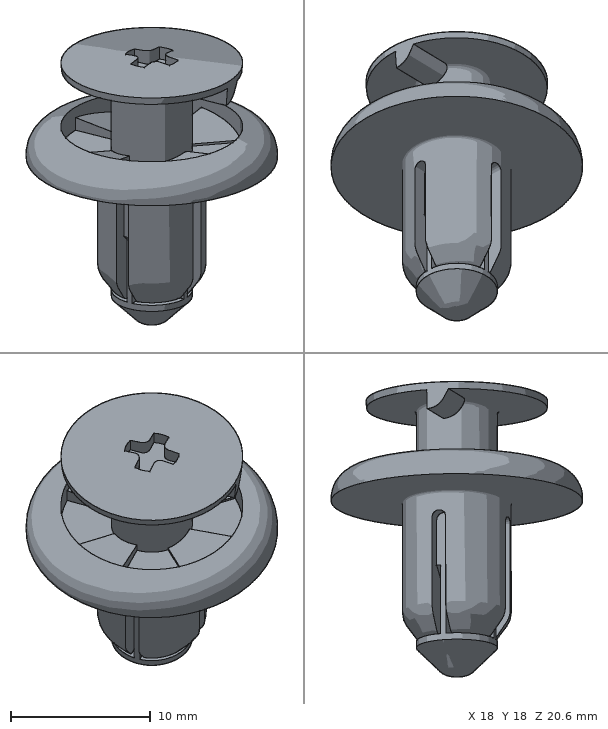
import cadquery as cq
import math


stem_radius = 2.9
seat_top_z = 7.5

head_radius = 6.5
head_top_z = 20.6
head_edge_z = 20.08
head_bottom_z = 19.56
rim_draft = 5.0
stem_fillet = 0.5

lug_bottom_z = 18.2
lug_round = 1.4
lug_flank = 60.0

recess_radius = 1.95
recess_arm_width = 1.15
recess_corner = 0.51
recess_floor_z = 19.56

fin_width = 0.43
collar_top_z = 2.47
collar_bottom_z = 2.0
tip_round = 1.0

flange_radius = 9.0
flange_round = 2.0
flange_bottom_z = 12.77
flange_edge_height = 0.2
flange_top_z = 15.13
pocket_radius = 6.5
pocket_floor_z = 13.35

ramp_start_z = 13.5
ramp_angle = 10.0
ramp_count = 4

sleeve_radius = 3.9
neck_fillet = 0.29
leg_taper_z = 4.1
leg_taper_angle = 36.0
leg_bottom_z = 2.55
leg_round = 1.45
leg_end_round = 0.45

slot_width = 1.03
slot_top_z = 11.3


def revolve_about_z(profile):
    """Turn a closed (radius, z) outline drawn on XZ into a solid of revolution."""
    return profile.close().revolve(360, (0, 0, 0), (0, 1, 0))


def drafted_radius(z):
    """Radius of the drafted head rim, continued downward along the lugs."""
    return head_radius - (head_edge_z - z) * math.tan(math.radians(rim_draft))


def head_apex_z():
    """Apex of the conical head top, which the driver recess cuts away."""
    corner_centre = recess_arm_width / 2 + recess_corner
    corner_r = corner_centre * math.sqrt(2) - recess_corner
    return head_edge_z + (head_top_z - head_edge_z) * head_radius / (head_radius - corner_r)


def make_turned_pin():
    """Round form of the pin: pointed tip, full-length stem and broad head."""
    fillet_mid = stem_fillet * (1 - math.sqrt(0.5))
    profile = (
        cq.Workplane("XZ")
        .lineTo(stem_radius - collar_bottom_z, 0)
        .lineTo(stem_radius, collar_bottom_z)
        .lineTo(stem_radius, head_bottom_z - stem_fillet)
        .threePointArc(
            (stem_radius + fillet_mid, head_bottom_z - fillet_mid),
            (stem_radius + stem_fillet, head_bottom_z),
        )
        .lineTo(drafted_radius(head_bottom_z), head_bottom_z)
        .lineTo(head_radius, head_edge_z)
        .lineTo(0, head_apex_z())
    )
    return revolve_about_z(profile).faces("<Z").edges().fillet(tip_round)


def make_lugs():
    """Two opposite lugs under the head, each upright on one side and rounded on the other."""
    sweep = math.radians(lug_flank)
    centre_z = lug_bottom_z + lug_round
    arc_end_y = lug_round * math.sin(sweep)
    arc_end_z = centre_z - lug_round * math.cos(sweep)
    top_y = arc_end_y + (head_bottom_z - arc_end_z) / math.tan(sweep)
    lug = (
        cq.Workplane("YZ")
        .moveTo(0, head_bottom_z)
        .lineTo(0, lug_bottom_z)
        .threePointArc(
            (lug_round * math.sin(sweep / 2), centre_z - lug_round * math.cos(sweep / 2)),
            (arc_end_y, arc_end_z),
        )
        .lineTo(top_y, head_bottom_z)
        .close()
        .extrude(head_radius)
    )
    envelope = revolve_about_z(
        cq.Workplane("XZ")
        .moveTo(0, lug_bottom_z)
        .lineTo(drafted_radius(lug_bottom_z), lug_bottom_z)
        .lineTo(drafted_radius(head_bottom_z), head_bottom_z)
        .lineTo(0, head_bottom_z)
    )
    lug = lug.intersect(envelope)
    return lug.union(lug.rotate((0, 0, 0), (0, 0, 1), 180))


def make_driver_recess():
    """Cross recess with rounded inner corners and arm ends on a common circle."""
    depth = head_apex_z() - recess_floor_z
    base = cq.Workplane("XY").workplane(offset=recess_floor_z)
    arm_length = 2 * recess_radius + recess_arm_width
    cross = base.rect(arm_length, recess_arm_width).extrude(depth)
    cross = cross.union(base.rect(recess_arm_width, arm_length).extrude(depth))
    inner_corners = cq.selectors.BoxSelector(
        (-recess_arm_width, -recess_arm_width, recess_floor_z),
        (recess_arm_width, recess_arm_width, head_apex_z()),
    )
    cross = cross.edges("|Z").edges(inner_corners).fillet(recess_corner)
    return cross.intersect(base.circle(recess_radius).extrude(depth))


def make_fin_gaps():
    """Spaces between the crossed fins, from the collar up to the 45 degree end of the stem."""
    outer = stem_radius + fin_width
    seat_apex_z = seat_top_z - stem_radius
    gaps = revolve_about_z(
        cq.Workplane("XZ")
        .moveTo(0, collar_top_z)
        .lineTo(outer, collar_top_z)
        .lineTo(outer, seat_apex_z + outer)
        .lineTo(0, seat_apex_z)
    )
    height = seat_apex_z + outer - collar_top_z
    base = cq.Workplane("XY").workplane(offset=collar_top_z)
    fins = base.rect(2 * outer, fin_width).extrude(height)
    fins = fins.union(base.rect(fin_width, 2 * outer).extrude(height))
    return gaps.cut(fins)


def make_pin():
    pin = make_turned_pin().cut(make_fin_gaps())
    pin = pin.union(make_lugs())
    return pin.cut(make_driver_recess())


def make_flange():
    """Flange with a rounded outer edge that runs out into a gently sloping top."""
    round_centre_r = flange_radius - flange_round
    round_centre_z = flange_bottom_z + flange_edge_height
    reach = round_centre_r - pocket_radius
    rise = flange_top_z - round_centre_z
    tangent_angle = math.atan2(rise, -reach) - math.acos(flange_round / math.hypot(reach, rise))

    def on_round(angle):
        return (
            round_centre_r + flange_round * math.cos(angle),
            round_centre_z + flange_round * math.sin(angle),
        )

    profile = (
        cq.Workplane("XZ")
        .moveTo(0, flange_bottom_z)
        .lineTo(flange_radius, flange_bottom_z)
        .lineTo(flange_radius, round_centre_z)
        .threePointArc(on_round(tangent_angle / 2), on_round(tangent_angle))
        .lineTo(pocket_radius, flange_top_z)
        .lineTo(pocket_radius, pocket_floor_z)
        .lineTo(0, pocket_floor_z)
    )
    return revolve_about_z(profile)


def make_ramps():
    """Sloping floor sectors, each 45 degrees wide and ending in an upright radial wall."""
    slope_rise = pocket_radius * math.tan(math.radians(ramp_angle))
    wedge = (
        cq.Workplane("YZ")
        .moveTo(0, flange_bottom_z)
        .lineTo(0, ramp_start_z)
        .lineTo(pocket_radius, ramp_start_z + slope_rise)
        .lineTo(pocket_radius, flange_bottom_z)
        .close()
        .extrude(pocket_radius)
    )
    base = cq.Workplane("XY").workplane(offset=flange_bottom_z)
    height = flange_top_z - flange_bottom_z
    sector = base.polyline(
        [(0, 0), (pocket_radius, 0), (pocket_radius, pocket_radius)]
    ).close().extrude(height)
    ramp = wedge.intersect(sector).intersect(base.circle(pocket_radius).extrude(height))
    pitch = 360 / ramp_count
    first_angle = pitch / 2
    return [
        ramp.rotate((0, 0, 0), (0, 0, 1), first_angle + i * pitch) for i in range(ramp_count)
    ]


def make_barrel():
    """Outer body of the legs, tapered and rounded at the lower end."""
    taper_inset = (leg_taper_z - leg_bottom_z) * math.tan(math.radians(leg_taper_angle))
    barrel = revolve_about_z(
        cq.Workplane("XZ")
        .moveTo(0, leg_bottom_z)
        .lineTo(sleeve_radius - taper_inset, leg_bottom_z)
        .lineTo(sleeve_radius, leg_taper_z)
        .lineTo(sleeve_radius, flange_bottom_z)
        .lineTo(0, flange_bottom_z)
    )
    barrel = barrel.faces("<Z").edges().fillet(leg_end_round)
    margin = leg_end_round / 2
    taper_edge = cq.selectors.BoxSelector(
        (-sleeve_radius, -sleeve_radius, leg_taper_z - margin),
        (sleeve_radius, sleeve_radius, leg_taper_z + margin),
    )
    return barrel.edges("%CIRCLE").edges(taper_edge).fillet(leg_round)


def make_neck():
    """Concave fillet ring where the barrel meets the underside of the flange."""
    inset = neck_fillet * (1 - math.sqrt(0.5))
    profile = (
        cq.Workplane("XZ")
        .moveTo(0, flange_bottom_z)
        .lineTo(sleeve_radius + neck_fillet, flange_bottom_z)
        .threePointArc(
            (sleeve_radius + inset, flange_bottom_z - inset),
            (sleeve_radius, flange_bottom_z - neck_fillet),
        )
        .lineTo(0, flange_bottom_z - neck_fillet)
    )
    return revolve_about_z(profile)


def make_bore():
    """Bore for the stem, narrowing to the 45 degree seat that the stem rests on."""
    profile = (
        cq.Workplane("XZ")
        .moveTo(0, seat_top_z - stem_radius)
        .lineTo(stem_radius, seat_top_z)
        .lineTo(stem_radius, flange_top_z)
        .lineTo(0, flange_top_z)
    )
    return revolve_about_z(profile)


def make_leg_slots():
    """Two crossed round-topped slots that divide the barrel into four legs."""
    half_width = slot_width / 2
    slot = (
        cq.Workplane("XZ")
        .moveTo(-half_width, leg_bottom_z)
        .lineTo(-half_width, slot_top_z - half_width)
        .threePointArc((0, slot_top_z), (half_width, slot_top_z - half_width))
        .lineTo(half_width, leg_bottom_z)
        .close()
        .extrude(sleeve_radius, both=True)
    )
    return slot.union(slot.rotate((0, 0, 0), (0, 0, 1), 90))


def make_sleeve():
    sleeve = make_flange().union(make_barrel()).union(make_neck())
    for ramp in make_ramps():
        sleeve = sleeve.union(ramp)
    return sleeve.cut(make_bore()).cut(make_leg_slots())


pin = make_pin()
sleeve = make_sleeve()

result = cq.Compound.makeCompound([pin.val(), sleeve.val()])